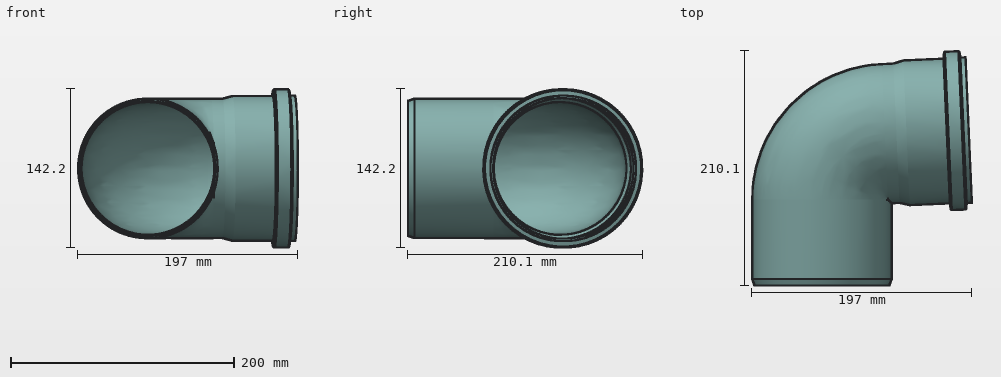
import cadquery as cq
import math


BEND_ANGLE = 87.5
BEND_RADIUS = 59.2

PIPE_RADIUS = 125.2 / 2
PIPE_BORE_RADIUS = 118.9 / 2
SPIGOT_LENGTH = 76.9
SPIGOT_CHAMFER_LENGTH = 6.0
SPIGOT_TIP_RADIUS = PIPE_RADIUS - 2.0

SOCKET_RADIUS = 130.0 / 2
SOCKET_BORE_RADIUS = 126 / 2
COLLAR_RADIUS = 142.2 / 2
LIP_RADIUS = 130.6 / 2
FLARE_START = 10.3
FLARE_END = 19.3
COLLAR_START = 55.0
COLLAR_END = 70.4
COLLAR_EDGE_CHAMFER = 1.0
COLLAR_SIDE_SLOPE = 0.6
SOCKET_LENGTH = 75.0

BORE_OVERRUN = 2.0

bend_angle_rad = math.radians(BEND_ANGLE)
socket_origin = (
    BEND_RADIUS * (1 - math.cos(bend_angle_rad)),
    BEND_RADIUS * math.sin(bend_angle_rad),
    0,
)
socket_direction = (math.sin(bend_angle_rad), math.cos(bend_angle_rad), 0)


def turned(points, origin, direction):
    """Solid of revolution from (radius, distance along the axis) points."""
    profile = cq.Workplane("XZ").polyline(points).close()
    solid = profile.revolve(360, (0, 0, 0), (0, 1, 0)).val()
    plane = cq.Plane(origin=origin, xDir=(0, 0, 1), normal=direction)
    return cq.Workplane(solid.moved(cq.Location(plane)))


def bend(radius):
    """Near-quarter-turn sweep of a disc, keeping only the part outside the pivot axis."""
    half_chord = math.sqrt(radius**2 - BEND_RADIUS**2)
    solid = (
        cq.Workplane("XZ")
        .moveTo(BEND_RADIUS, -half_chord)
        .threePointArc((-radius, 0), (BEND_RADIUS, half_chord))
        .close()
        .revolve(BEND_ANGLE, (BEND_RADIUS, 2, 0), (BEND_RADIUS, 0, 0))
    )
    return cq.Workplane(solid.val().toNURBS())


def spigot():
    points = [
        (0, 0),
        (PIPE_RADIUS, 0),
        (PIPE_RADIUS, SPIGOT_LENGTH - SPIGOT_CHAMFER_LENGTH),
        (SPIGOT_TIP_RADIUS, SPIGOT_LENGTH),
        (0, SPIGOT_LENGTH),
    ]
    return turned(points, (0, 0, 0), (0, -1, 0))


def spigot_bore():
    length = SPIGOT_LENGTH + BORE_OVERRUN
    points = [(0, 0), (PIPE_BORE_RADIUS, 0), (PIPE_BORE_RADIUS, length), (0, length)]
    return turned(points, (0, 0, 0), (0, -1, 0))


def socket():
    side_start = COLLAR_START + COLLAR_SIDE_SLOPE
    side_end = COLLAR_END - COLLAR_SIDE_SLOPE
    points = [
        (0, 0),
        (PIPE_RADIUS, 0),
        (PIPE_RADIUS, FLARE_START),
        (SOCKET_RADIUS, FLARE_END),
        (SOCKET_RADIUS, COLLAR_START),
        (COLLAR_RADIUS - COLLAR_EDGE_CHAMFER, side_start),
        (COLLAR_RADIUS, side_start + COLLAR_EDGE_CHAMFER),
        (COLLAR_RADIUS, side_end - COLLAR_EDGE_CHAMFER),
        (COLLAR_RADIUS - COLLAR_EDGE_CHAMFER, side_end),
        (LIP_RADIUS, COLLAR_END),
        (LIP_RADIUS, SOCKET_LENGTH),
        (0, SOCKET_LENGTH),
    ]
    return turned(points, socket_origin, socket_direction)


def socket_bore():
    points = [
        (0, 0),
        (PIPE_BORE_RADIUS, 0),
        (PIPE_BORE_RADIUS, FLARE_START),
        (SOCKET_BORE_RADIUS, FLARE_END),
        (SOCKET_BORE_RADIUS, SOCKET_LENGTH),
        (0, SOCKET_LENGTH),
    ]
    return turned(points, socket_origin, socket_direction)


body = bend(PIPE_RADIUS).union(spigot()).union(socket())
result = body.cut(bend(PIPE_BORE_RADIUS)).cut(spigot_bore()).cut(socket_bore())